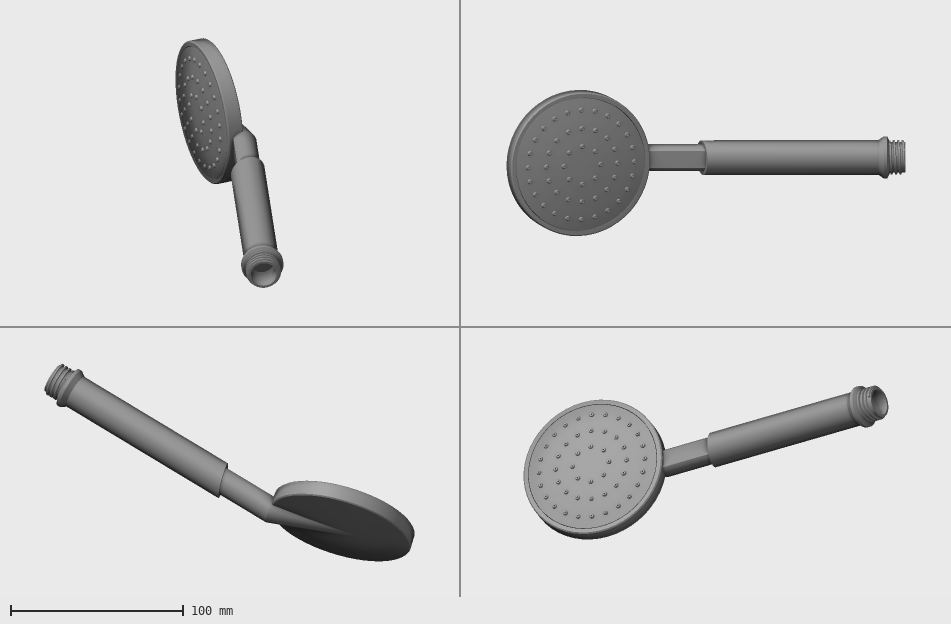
import cadquery as cq
import math


head_radius = 84.5 / 2
rim_depth = 9.5
back_dome_height = 2.5
rim_chamfer = 0.7

recess_radius = 78.5 / 2
plate_radius = 77.8 / 2
plate_thickness = 4.6
face_dome_height = 3.5

nozzle_rings = [(11.0, 8), (21.5, 16), (32.0, 24)]
nozzle_base_radius = 1.5
nozzle_tip_radius = 2.0 / 2
nozzle_bore_radius = 0.9 / 2
nozzle_height = 1.0
nozzle_sink = 0.7

neck_radius = 7.8
flat_width = 10.2
flat_distance = math.sqrt(neck_radius**2 - (flat_width / 2) ** 2)
neck_rise_angle = 5.8
neck_buried_length = 48.5
bend_x = 42.0
bend_y = 9.2

handle_angle = 17.0
handle_start_x = 73.5
sleeve_radius = 20.0 / 2
sleeve_end = 134.8
collar_radius = 24.5 / 2
collar_start = 138.0
collar_width = 1.8
collar_end = collar_start + collar_width
collar_back_length = 1.8
root_start = collar_end + collar_back_length
handle_end = 150.5
bore_radius = 15.0 / 2

thread_radius = sleeve_radius
thread_depth = 1.2
thread_root_radius = thread_radius - thread_depth
thread_pitch = 2.5
thread_turns = 3.25
thread_length = thread_turns * thread_pitch
thread_base_width = 1.8
thread_crest_width = 1.0
thread_overlap = 0.7
thread_start = handle_end - thread_base_width / 2 - thread_length

handle_direction = cq.Vector(
    math.cos(math.radians(handle_angle)), -math.sin(math.radians(handle_angle)), 0
)
neck_direction = cq.Vector(
    math.cos(math.radians(neck_rise_angle)), math.sin(math.radians(neck_rise_angle)), 0
)
bend_point = cq.Vector(bend_x, bend_y, 0)
front = cq.Vector(0, -1, 0)
cutter_size = 461.7


def dome_rise(edge_radius, height, radius):
    """Height at a given radius of a spherical dome that rises by height inside edge_radius."""
    sphere_radius = (edge_radius**2 + height**2) / (2 * height)
    return height - sphere_radius + math.sqrt(sphere_radius**2 - radius**2)


def half_space(start_x, side):
    """A block reaching from the plane X = start_x to well past the part on one side (+1 or -1)."""
    block = cq.Workplane("XY").box(cutter_size, cutter_size, cutter_size)
    return block.translate((start_x + side * cutter_size / 2, 0, 0))


def make_neck():
    """Flatted bar swept from inside the head, round the mitred bend, to the handle."""
    inner_end = bend_point - neck_direction * neck_buried_length
    outer_end = bend_point + handle_direction * handle_end
    path = cq.Workplane("XY").polyline([inner_end.toTuple(), bend_point.toTuple(), outer_end.toTuple()])
    half_flat = flat_width / 2
    section_plane = cq.Plane(origin=inner_end, xDir=(0, 0, -1), normal=neck_direction)
    section = (
        cq.Workplane(section_plane)
        .moveTo(-half_flat, -flat_distance)
        .lineTo(half_flat, -flat_distance)
        .threePointArc((0, neck_radius), (-half_flat, -flat_distance))
        .close()
    )
    return section.sweep(path, transition="right").cut(half_space(handle_start_x, 1))


def make_housing():
    """Head shell with a domed back, the neck, and the front recess for the spray plate."""
    inner_radius = head_radius - rim_chamfer
    back_middle_y = rim_depth + dome_rise(inner_radius, back_dome_height, inner_radius / 2)
    shell = (
        cq.Workplane("XY")
        .lineTo(inner_radius, 0)
        .lineTo(head_radius, rim_chamfer)
        .lineTo(head_radius, rim_depth - rim_chamfer)
        .lineTo(inner_radius, rim_depth)
        .threePointArc((inner_radius / 2, back_middle_y), (0, rim_depth + back_dome_height))
        .close()
        .revolve(360, (0, 0, 0), (0, 1, 0))
    )
    recess = (
        cq.Workplane("XZ", origin=(0, plate_thickness, 0))
        .circle(recess_radius)
        .extrude(plate_thickness + neck_radius)
    )
    return shell.union(make_neck()).cut(recess)


def make_nozzle(x, surface_y, z):
    """Tapered nozzle pointing to -Y, with its foot sunk into the domed face."""
    foot = cq.Vector(x, surface_y + nozzle_sink, z)
    stem = cq.Solid.makeCylinder(nozzle_base_radius, nozzle_sink, foot, front)
    cone = cq.Solid.makeCone(
        nozzle_base_radius, nozzle_tip_radius, nozzle_height, cq.Vector(x, surface_y, z), front
    )
    return cq.Workplane(obj=stem.fuse(cone))


def make_nozzle_bore(x, surface_y, z):
    """Water passage from the back of the plate out through the nozzle tip."""
    length = plate_thickness - surface_y + nozzle_height
    back = cq.Vector(x, plate_thickness, z)
    return cq.Workplane(obj=cq.Solid.makeCylinder(nozzle_bore_radius, length, back, front))


def make_spray_plate():
    """Plate with a domed front face and rings of bored nozzles."""
    face_middle_y = -dome_rise(plate_radius, face_dome_height, plate_radius / 2)
    plate = (
        cq.Workplane("XY")
        .moveTo(0, plate_thickness)
        .lineTo(plate_radius, plate_thickness)
        .lineTo(plate_radius, 0)
        .threePointArc((plate_radius / 2, face_middle_y), (0, -face_dome_height))
        .close()
        .revolve(360, (0, 0, 0), (0, 1, 0))
    )
    for ring_radius, count in nozzle_rings:
        surface_y = -dome_rise(plate_radius, face_dome_height, ring_radius)
        for index in range(count):
            angle = 2 * math.pi * index / count
            x = ring_radius * math.cos(angle)
            z = ring_radius * math.sin(angle)
            plate = plate.union(make_nozzle(x, surface_y, z)).cut(make_nozzle_bore(x, surface_y, z))
    return plate


def make_thread():
    """Helical ridge around the local Z axis, ending flush with the end of the handle."""
    helix = cq.Wire.makeHelix(thread_pitch, thread_length, thread_root_radius)
    inner = thread_root_radius - thread_overlap
    profile = cq.Workplane("XZ").polyline(
        [
            (inner, -thread_base_width / 2),
            (inner, thread_base_width / 2),
            (thread_radius, thread_crest_width / 2),
            (thread_radius, -thread_crest_width / 2),
        ]
    ).close()
    ridge = profile.sweep(cq.Workplane(obj=helix), isFrenet=True)
    return ridge.translate((0, 0, thread_start))


def make_handle():
    """Sleeve with an oblique end, a flared collar and a bored, threaded hose connector."""
    core = (
        cq.Workplane("XZ")
        .lineTo(sleeve_radius, 0)
        .lineTo(sleeve_radius, sleeve_end)
        .lineTo(collar_radius, collar_start)
        .lineTo(collar_radius, collar_end)
        .lineTo(thread_root_radius, root_start)
        .lineTo(thread_root_radius, handle_end)
        .lineTo(0, handle_end)
        .close()
        .revolve(360, (0, 0, 0), (0, 1, 0))
    )
    bore = cq.Workplane("XY").workplane(offset=sleeve_end).circle(bore_radius).extrude(handle_end - sleeve_end)
    local = core.union(make_thread()).cut(bore)
    axis_plane = cq.Plane(origin=bend_point, xDir=(0, 0, 1), normal=handle_direction)
    placed = cq.Workplane(obj=local.val().moved(axis_plane.location))
    return placed.cut(half_space(handle_start_x, -1))


housing = make_housing()
spray_plate = make_spray_plate()
handle = make_handle()

result = cq.Compound.makeCompound([*housing.vals(), *spray_plate.vals(), *handle.vals()])